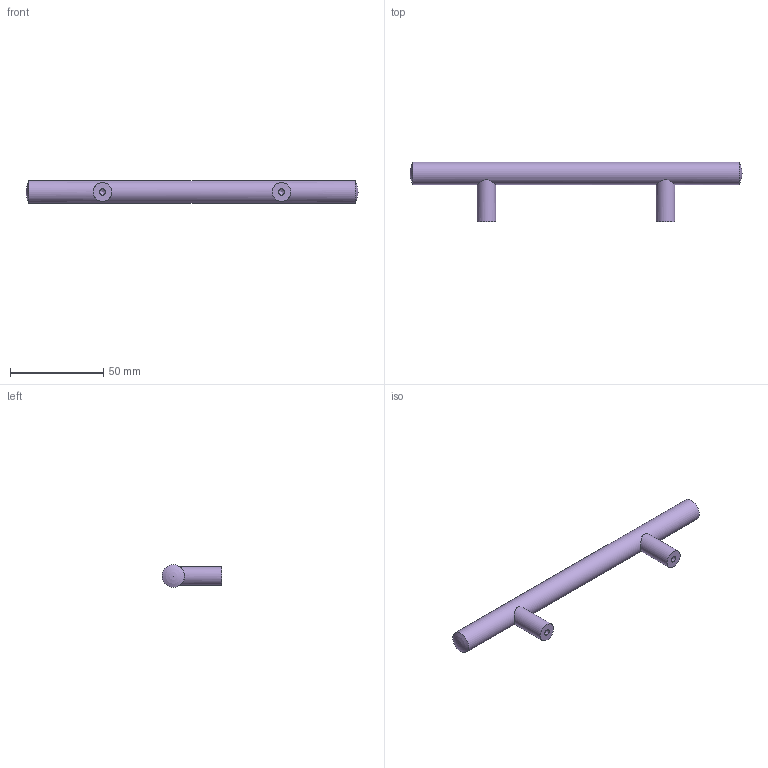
import cadquery as cq
import math

bar_diameter = 12.0
overall_length = 178.0
dome_radius = bar_diameter

post_spacing = 96.0
post_diameter = 10.0
overall_depth = 32.0

hole_diameter = 3.3
hole_depth = 15.0
drill_point_angle = 118.0

bar_radius = bar_diameter / 2
half_length = overall_length / 2
dome_height = dome_radius - math.sqrt(dome_radius**2 - bar_radius**2)
half_shoulder = half_length - dome_height
foot_y = bar_radius - overall_depth


def make_bar():
    """Round bar along X, centred on the origin, with spherical end faces."""
    mid_radius = bar_radius / 2
    mid_x = half_length - dome_radius + math.sqrt(dome_radius**2 - mid_radius**2)
    profile = (
        cq.Workplane("XY")
        .moveTo(-half_length, 0)
        .threePointArc((-mid_x, mid_radius), (-half_shoulder, bar_radius))
        .lineTo(half_shoulder, bar_radius)
        .threePointArc((mid_x, mid_radius), (half_length, 0))
        .close()
    )
    return profile.revolve(360, (0, 0, 0), (1, 0, 0))


def make_post(x):
    """Round post from its foot to the axis of the bar."""
    return cq.Workplane("XY").add(
        cq.Solid.makeCylinder(
            post_diameter / 2, -foot_y, cq.Vector(x, foot_y, 0), cq.Vector(0, 1, 0)
        )
    )


def make_screw_hole(x):
    """Blind hole with a conical drill point, opening at the post foot."""
    hole_radius = hole_diameter / 2
    point_depth = hole_radius / math.tan(math.radians(drill_point_angle / 2))
    wall_end_y = foot_y + hole_depth
    profile = (
        cq.Workplane("XY")
        .moveTo(x, foot_y)
        .lineTo(x + hole_radius, foot_y)
        .lineTo(x + hole_radius, wall_end_y)
        .lineTo(x, wall_end_y + point_depth)
        .close()
    )
    return profile.revolve(360, (x, 0, 0), (x, 1, 0))


result = make_bar()
for post_x in (-post_spacing / 2, post_spacing / 2):
    result = result.union(make_post(post_x)).cut(make_screw_hole(post_x))